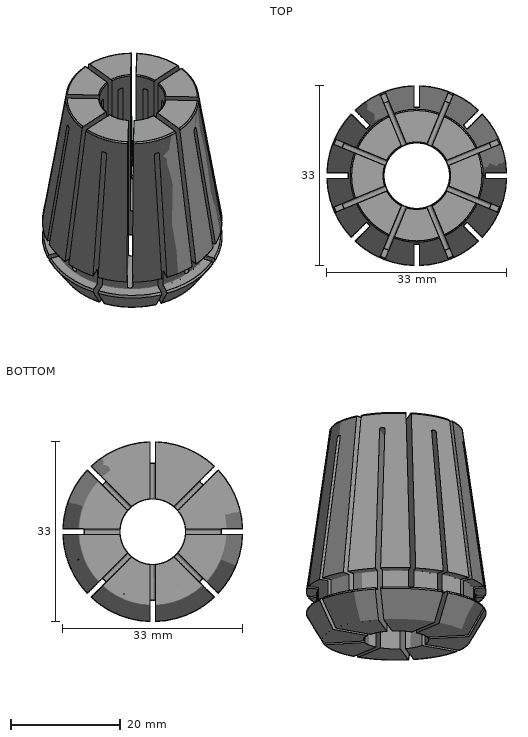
import cadquery as cq
import math

TOTAL_LENGTH = 40.0
MAX_RADIUS = 16.5
BORE_RADIUS = 6.0

TAPER_HALF_ANGLE = 8.0
TAPER_BOTTOM_Z = 9.1
TOP_CHAMFER = 0.25
BORE_CHAMFER = 0.2

GROOVE_BOTTOM_Z = 5.5
GROOVE_RADIUS = 14.6
GROOVE_FILLET = 0.2
RIM_CHAMFER_HEIGHT = 0.4
RIM_CHAMFER_WIDTH = 0.3
NOSE_HALF_ANGLE = 30.0
NOSE_FILLET = 0.2

SLOTS_PER_SET = 8
SLOT_WIDTH = 1.0
LOWER_SLOT_END_Z = 37.0
UPPER_SLOT_END_Z = 5.9
SLOT_CORNER_RADIUS = 0.4

SLOT_PITCH = 360.0 / SLOTS_PER_SET
RIM_EDGE_Z = GROOVE_BOTTOM_Z - RIM_CHAMFER_HEIGHT
NOSE_RADIUS = MAX_RADIUS - RIM_EDGE_Z * math.tan(math.radians(NOSE_HALF_ANGLE))
SLOT_OVERRUN = 1.0
RADIUS_TOLERANCE = 0.001


def taper_radius(z):
    """Outer radius of the clamping taper at height z."""
    return MAX_RADIUS - (z - TAPER_BOTTOM_Z) * math.tan(math.radians(TAPER_HALF_ANGLE))


def fillet_circles(body, circle_radius, fillet_radius):
    """Round every circular edge of the given radius."""
    circles = body.edges("%CIRCLE").filter(
        lambda edge: abs(edge.radius() - circle_radius) < RADIUS_TOLERANCE
    )
    return circles.fillet(fillet_radius)


def collet_body():
    """Revolve the half section, bore included, about the Z axis."""
    chamfer_z = TOTAL_LENGTH - TOP_CHAMFER
    section = [
        (BORE_RADIUS, 0),
        (NOSE_RADIUS, 0),
        (MAX_RADIUS, RIM_EDGE_Z),
        (MAX_RADIUS - RIM_CHAMFER_WIDTH, GROOVE_BOTTOM_Z),
        (GROOVE_RADIUS, GROOVE_BOTTOM_Z),
        (GROOVE_RADIUS, TAPER_BOTTOM_Z),
        (MAX_RADIUS, TAPER_BOTTOM_Z),
        (taper_radius(chamfer_z), chamfer_z),
        (taper_radius(chamfer_z) - TOP_CHAMFER, TOTAL_LENGTH),
        (BORE_RADIUS + BORE_CHAMFER, TOTAL_LENGTH),
        (BORE_RADIUS, TOTAL_LENGTH - BORE_CHAMFER),
    ]
    body = cq.Workplane("XZ").polyline(section).close().revolve(360, (0, 0, 0), (0, 1, 0))
    body = fillet_circles(body, GROOVE_RADIUS, GROOVE_FILLET)
    return fillet_circles(body, NOSE_RADIUS, NOSE_FILLET)


def slot_cutter(open_z, end_z, angle):
    """Slot from the axis outward, open at open_z, with rounded corners at end_z."""
    opens_upward = open_z > end_z
    start_z = open_z + SLOT_OVERRUN if opens_upward else open_z - SLOT_OVERRUN
    end_face = "<Z" if opens_upward else ">Z"
    return (
        cq.Workplane("YZ")
        .center(0, (start_z + end_z) / 2)
        .rect(SLOT_WIDTH, abs(start_z - end_z))
        .extrude(MAX_RADIUS + SLOT_OVERRUN)
        .faces(end_face)
        .edges("|X")
        .fillet(SLOT_CORNER_RADIUS)
        .rotate((0, 0, 0), (0, 0, 1), angle)
    )


result = collet_body()
for index in range(SLOTS_PER_SET):
    lower_angle = index * SLOT_PITCH
    upper_angle = lower_angle + SLOT_PITCH / 2
    result = result.cut(slot_cutter(0, LOWER_SLOT_END_Z, lower_angle))
    result = result.cut(slot_cutter(TOTAL_LENGTH, UPPER_SLOT_END_Z, upper_angle))